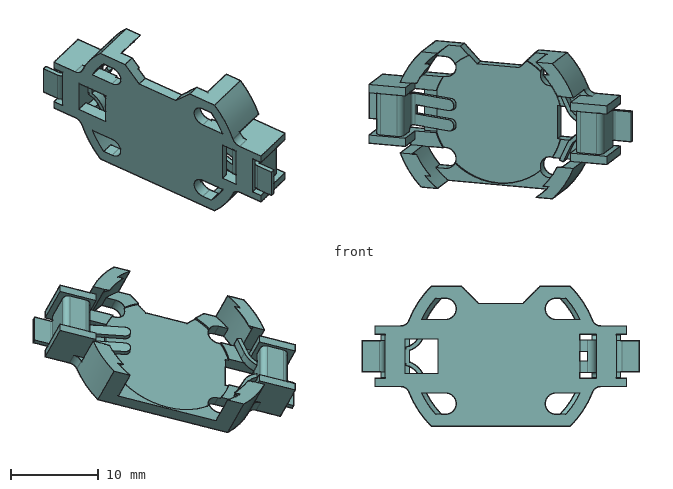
import cadquery as cq
import math

plate_thickness = 1.42
disc_radius = 11.25
body_half_height = 8.0
neck_fillet = 0.98
notch_floor = 6.05
notch_floor_half_width = 2.53
notch_top_half_width = notch_floor_half_width + body_half_height - notch_floor

cavity_radius = 9.95
lip_reach = 0.5
seat_radius = 7.8
seat_depth = 0.205
rim_depth = 5.2
rim_inner_x = 5.95
rim_inner_z = 4.17

corner_hole_low_z = 4.2
corner_hole_high_z = 6.6
corner_hole_radius = (corner_hole_high_z - corner_hole_low_z) / 2
corner_hole_round_x = 6.3

arm_end_x = 14.35
arm_inner_x = cavity_radius
arm_half_height = 3.48
arm_depth = 4.85
channel_half_height = 2.5
bar_inner_x = 10.9
bar_outer_x = 13.18
bar_depth = 4.08
left_window_inner_x = 7.17
left_window_half_height = 1.95
right_window_inner_x = 9.05
tongue_pocket_inner_x = 7.4
tongue_pocket_floor = 0.8

sheet = 0.5
inner_bend = 0.15
outer_bend = inner_bend + sheet
clip_half_height = 2.43
tab_half_height = 1.77
tab_end_x = 15.8

tongue_half_height = 1.85
tongue_slot_half_height = 0.55
tongue_angle = 15
tongue_length = 5.28
tongue_bend = 0.82
tongue_bend_y = 1.52
prong_tip_radius = 0.63
shoulder_fillet = 0.5

finger_low_y = 1.9
finger_high_y = 2.95
neck_half_height = 0.82
finger_bend = 2.5
finger_bend_x = 11.35
finger_bend_z = 3.22
finger_root_angle = 13
finger_tip_angle = 65
finger_straight = 2.1


def block(x_range, y_range, z_range):
    """Box between two X, two Y and two Z values."""
    size = [high - low for low, high in (x_range, y_range, z_range)]
    low_corner = (x_range[0], y_range[0], z_range[0])
    return cq.Workplane("XY").box(*size, centered=False).translate(low_corner)


def outline_at(y):
    """Workplane at the given Y: first coordinate towards -X, second towards +Z, extruding to +Y."""
    return cq.Workplane(cq.Plane(origin=(0, y, 0), xDir=(-1, 0, 0), normal=(0, 1, 0)))


def disc(radius, y_range):
    return outline_at(y_range[0]).circle(radius).extrude(y_range[1] - y_range[0])


def mirrored_x(shape):
    return shape.mirror("YZ")


def base_plate():
    plate_y = (0, plate_thickness)
    band = block((-arm_end_x, arm_end_x), plate_y, (-body_half_height, body_half_height))
    arms = block((-arm_end_x, arm_end_x), plate_y, (-arm_half_height, arm_half_height))
    plate = disc(disc_radius, plate_y).intersect(band).union(arms)
    corner_x = math.sqrt(disc_radius**2 - arm_half_height**2)
    for side in (-1, 1):
        for level in (-1, 1):
            corner = (side * corner_x, plate_thickness / 2, level * arm_half_height)
            plate = plate.edges(cq.selectors.NearestToPointSelector(corner)).fillet(neck_fillet)
    return plate


def rim_walls():
    """Four wall pieces that stand at the corners of the disc."""
    ring = disc(disc_radius, (0, rim_depth))
    quarter = block((rim_inner_x, disc_radius), (0, rim_depth), (rim_inner_z, body_half_height))
    pair = quarter.union(quarter.mirror("XY"))
    return ring.intersect(pair.union(mirrored_x(pair)))


def snap_lips():
    """Four wedges inside the rim walls, each straight above a corner hole."""
    wedge_ring = (
        cq.Workplane("XY")
        .moveTo(cavity_radius, rim_depth - lip_reach)
        .lineTo(cavity_radius, rim_depth)
        .lineTo(cavity_radius - lip_reach, rim_depth)
        .close()
        .revolve(360, (0, 0, 0), (0, 1, 0))
    )
    quarter = block((0, disc_radius), (0, rim_depth), (corner_hole_low_z, corner_hole_high_z))
    pair = quarter.union(quarter.mirror("XY"))
    return wedge_ring.intersect(pair.union(mirrored_x(pair)))


def arm_walls():
    """Two walls beside the channel of each terminal, and the bar across it."""
    upper = block((arm_inner_x, arm_end_x), (0, arm_depth), (channel_half_height, arm_half_height))
    channel_z = (-channel_half_height, channel_half_height)
    bar = block((bar_inner_x, bar_outer_x), (0, bar_depth), channel_z)
    bar = bar.edges("|Z and >Y").fillet(inner_bend)
    right = upper.union(upper.mirror("XY")).union(bar)
    return right.union(mirrored_x(right))


def top_notch():
    return (
        outline_at(0)
        .moveTo(-notch_floor_half_width, notch_floor)
        .lineTo(notch_floor_half_width, notch_floor)
        .lineTo(notch_top_half_width, body_half_height)
        .lineTo(-notch_top_half_width, body_half_height)
        .close()
        .extrude(plate_thickness)
    )


def corner_holes():
    """Four holes with a rounded inner end and an outer end along the cavity edge."""
    plate_y = (0, plate_thickness)
    middle_z = (corner_hole_low_z + corner_hole_high_z) / 2
    straight = block(
        (corner_hole_round_x, disc_radius), plate_y, (corner_hole_low_z, corner_hole_high_z)
    ).intersect(disc(cavity_radius, plate_y))
    rounded = disc(corner_hole_radius, plate_y).translate((corner_hole_round_x, 0, middle_z))
    hole = straight.union(rounded)
    pair = hole.union(hole.mirror("XY"))
    return pair.union(mirrored_x(pair))


def terminal_openings():
    """End slots for the tabs, and the window behind each bar."""
    plate_y = (0, plate_thickness)
    channel_z = (-channel_half_height, channel_half_height)
    window_z = (-left_window_half_height, left_window_half_height)
    end_slot = block((bar_outer_x, arm_end_x), plate_y, channel_z)
    left_window = block((-bar_inner_x, -left_window_inner_x), plate_y, window_z)
    right_window = block((right_window_inner_x, bar_inner_x), plate_y, channel_z)
    tongue_pocket = block(
        (tongue_pocket_inner_x, right_window_inner_x), (tongue_pocket_floor, plate_thickness), channel_z
    )
    end_slots = end_slot.union(mirrored_x(end_slot))
    return end_slots.union(left_window).union(right_window).union(tongue_pocket)


def make_housing():
    seat = disc(seat_radius, (plate_thickness - seat_depth, plate_thickness))
    raised = rim_walls().union(arm_walls()).cut(disc(cavity_radius, (0, rim_depth)))
    housing = base_plate().union(raised).union(snap_lips())
    for opening in (top_notch(), corner_holes(), terminal_openings(), seat):
        housing = housing.cut(opening)
    return housing


def clip(inner_leg_y):
    """Sheet folded over the right bar, with the soldering tab; the inner leg ends at the given Y."""
    clip_z = (-clip_half_height, clip_half_height)
    top_y = bar_depth + sheet
    outer_leg_x = (bar_outer_x, bar_outer_x + sheet)
    folded = block((bar_inner_x - sheet, outer_leg_x[1]), (outer_bend, top_y), clip_z)
    folded = folded.edges("|Z and >Y").fillet(outer_bend)
    bar = block((bar_inner_x, bar_outer_x), (0, bar_depth), clip_z)
    folded = folded.cut(bar.edges("|Z and >Y").fillet(inner_bend))
    folded = folded.cut(block((0, bar_inner_x), (0, inner_leg_y), clip_z))
    bend_x = bar_outer_x + outer_bend

    def arc_middle(radius):
        diagonal = radius * math.sqrt(0.5)
        return (bend_x - diagonal, outer_bend - diagonal)

    tab = (
        cq.Workplane("XY")
        .moveTo(bar_outer_x, outer_bend)
        .threePointArc(arc_middle(outer_bend), (bend_x, 0))
        .lineTo(tab_end_x, 0)
        .lineTo(tab_end_x, sheet)
        .lineTo(bend_x, sheet)
        .threePointArc(arc_middle(inner_bend), (outer_leg_x[1], outer_bend))
        .close()
        .extrude(tab_half_height, both=True)
    )
    return folded.union(tab)


def forked_tongue():
    """Narrow leg that bends under and rises towards the middle as two prongs."""
    axis_x = bar_inner_x - tongue_bend
    inside_bend = tongue_bend - sheet
    end_angle = -90 - tongue_angle
    rise = math.radians(tongue_angle)

    def on_bend(radius, angle):
        turn = math.radians(angle)
        return (axis_x + radius * math.cos(turn), tongue_bend_y + radius * math.sin(turn))

    def along_tongue(point):
        return (point[0] - tongue_length * math.cos(rise), point[1] + tongue_length * math.sin(rise))

    leg_top = tongue_bend_y + shoulder_fillet
    lower_start = on_bend(tongue_bend, end_angle)
    upper_start = on_bend(inside_bend, end_angle)
    tongue = (
        cq.Workplane("XY")
        .moveTo(bar_inner_x, leg_top)
        .lineTo(*on_bend(tongue_bend, 0))
        .threePointArc(on_bend(tongue_bend, end_angle / 2), lower_start)
        .lineTo(*along_tongue(lower_start))
        .lineTo(*along_tongue(upper_start))
        .lineTo(*upper_start)
        .threePointArc(on_bend(inside_bend, end_angle / 2), on_bend(inside_bend, 0))
        .lineTo(bar_inner_x - sheet, leg_top)
        .close()
        .extrude(tongue_half_height, both=True)
    )
    slot_z = (-tongue_slot_half_height, tongue_slot_half_height)
    slot = block((0, lower_start[0]), (0, rim_depth), slot_z)
    tip_normal = cq.Vector(-math.cos(rise), math.sin(rise), 0)
    thickness_direction = cq.Vector(math.sin(rise), math.cos(rise), 0)
    tongue = tongue.cut(slot)
    tips = tongue.faces(cq.selectors.DirectionMinMaxSelector(tip_normal))
    return tips.edges(cq.selectors.ParallelDirSelector(thickness_direction)).fillet(prong_tip_radius)


def make_right_terminal():
    leg_end = tongue_bend_y + shoulder_fillet
    terminal = clip(leg_end).union(forked_tongue())
    leg_middle_x = bar_inner_x - sheet / 2
    for level in (-1, 1):
        shoulder = (leg_middle_x, leg_end, level * tongue_half_height)
        terminal = terminal.edges(cq.selectors.NearestToPointSelector(shoulder)).fillet(shoulder_fillet)
    return terminal


def spring_finger():
    """Left strip that bends upward from the neck and runs on straight to press on the cell."""
    tip_slope = math.radians(finger_tip_angle)

    def on_bend(radius, angle):
        turn = math.radians(angle)
        return (finger_bend_x - radius * math.sin(turn), finger_bend_z - radius * math.cos(turn))

    def along_finger(point):
        run = finger_straight * math.cos(tip_slope)
        climb = finger_straight * math.sin(tip_slope)
        return (point[0] - run, point[1] + climb)

    inside = finger_bend - sheet / 2
    outside = finger_bend + sheet / 2
    middle_angle = (finger_root_angle + finger_tip_angle) / 2
    return (
        outline_at(finger_low_y)
        .moveTo(*on_bend(inside, finger_root_angle))
        .threePointArc(on_bend(inside, middle_angle), on_bend(inside, finger_tip_angle))
        .lineTo(*along_finger(on_bend(inside, finger_tip_angle)))
        .lineTo(*along_finger(on_bend(outside, finger_tip_angle)))
        .lineTo(*on_bend(outside, finger_tip_angle))
        .threePointArc(on_bend(outside, middle_angle), on_bend(outside, finger_root_angle))
        .close()
        .extrude(finger_high_y - finger_low_y)
    )


def make_left_terminal():
    neck = block(
        (-bar_inner_x, sheet - bar_inner_x),
        (finger_low_y, finger_high_y),
        (-neck_half_height, neck_half_height),
    )
    finger = spring_finger()
    return mirrored_x(clip(finger_high_y)).union(neck).union(finger).union(finger.mirror("XY"))


housing = make_housing()
left_terminal = make_left_terminal()
right_terminal = make_right_terminal()

result = cq.Compound.makeCompound([housing.val(), left_terminal.val(), right_terminal.val()])